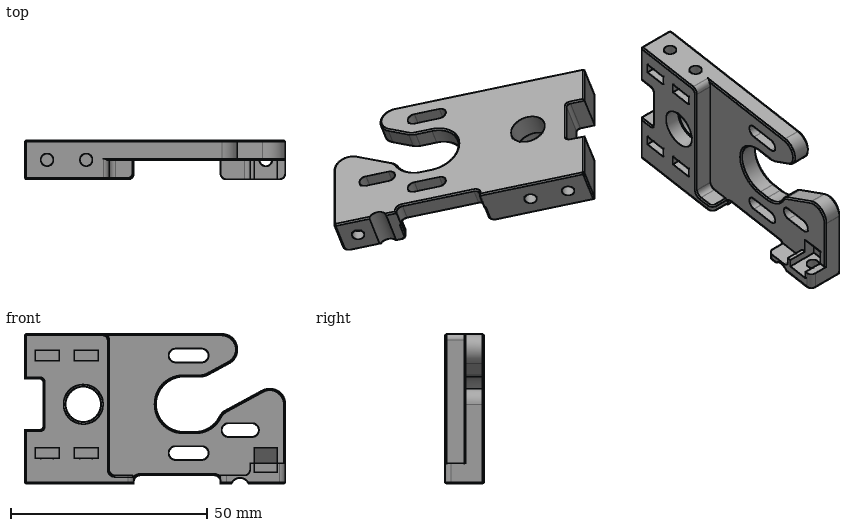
import cadquery as cq
import math

length = 66.5
depth = 10.0
height = 38.25

plate_front = 4.9
plate_mid = (plate_front + depth) / 2
raised_mid = plate_front / 2
mid_z = 20.3
edge = 0.4
corner_radius = 1.5
overlap = 0.6

bore_radius = 7.05
bore_left_x = 40.55
bore_right_x = 43.4
arm_radius = 4.0
upper_arm_x = 50.3
mouth_angle = math.radians(28.5)
upper_mouth_blend = 4.0
lower_mouth_blend = 3.45
bore_arc_degrees = -60
lower_tip_degrees = 45

foot_top = 2.1
left_foot_end = 27.85
right_foot_start = 49.95
relief_radius = 1.5

block_width = 21.55
notch_depth = 4.8
notch_height = 13.05
notch_radius = 1.0
rod_x = 14.95
rod_diameter = 9.0
rod_recess_diameter = 10.1
rod_recess_depth = 4.0

screw_diameter = 3.2
screw_y = depth / 2
block_screw_xs = (5.7, 15.7)
nut_width = 6.1
nut_height = 2.65
nut_offset = 12.45
nut_pocket_depth = screw_y + nut_width / 2

slot_width = 3.45
slot_x = 41.8
plate_slots = (
    (slot_x, mid_z + nut_offset, 10.1),
    (slot_x, mid_z - nut_offset, 10.1),
    (55.0, 13.7, 9.45),
)

seat_start = 57.5
seat_top = 5.2
seat_screw_x = 61.5
seat_nut_width = 5.9
seat_floor = 3.0
seat_pocket_top = 9.25
seat_pocket_rear = screw_y + seat_nut_width / 2
groove_x = 54.9
groove_radius = 2.4
groove_top = 1.45


def slab(outline, y_start, y_end):
    """Extrude a closed XZ outline from y_start to y_end."""
    return outline.extrude(y_start - y_end).translate((0, y_start, 0))


def box(x_range, y_range, z_range):
    """Axis-aligned box spanning the three ranges."""
    sizes = [stop - start for start, stop in (x_range, y_range, z_range)]
    return cq.Workplane("XY").box(*sizes, centered=False).translate((x_range[0], y_range[0], z_range[0]))


def cylinder_y(x, z, diameter, y_start, y_end):
    """Cylinder parallel to Y."""
    return slab(cq.Workplane("XZ").center(x, z).circle(diameter / 2), y_start, y_end)


def cylinder_z(x, y, diameter, z_start, z_end):
    """Cylinder parallel to Z."""
    return cq.Workplane("XY", origin=(x, y, z_start)).circle(diameter / 2).extrude(z_end - z_start)


def on_arc(centre, radius, degrees):
    """Point on a circle, with the angle measured from +X towards +Z."""
    angle = math.radians(degrees)
    return (centre[0] + radius * math.cos(angle), centre[1] + radius * math.sin(angle))


def plate_outline():
    """Plate outline without the end notch, and the two mouth corners that are to be blended."""
    along = (math.cos(mouth_angle), math.sin(mouth_angle))
    upper_centre = (upper_arm_x, height - arm_radius)
    lower_centre = (length - arm_radius, mid_z)
    upper_tangent = (upper_centre[0] + arm_radius * along[1], upper_centre[1] - arm_radius * along[0])
    lower_tangent = (lower_centre[0] - arm_radius * along[1], lower_centre[1] + arm_radius * along[0])

    bore_top = mid_z + bore_radius
    upper_meet_x = upper_tangent[0] - (upper_tangent[1] - bore_top) / math.tan(mouth_angle)

    offset = (lower_tangent[0] - bore_right_x, lower_tangent[1] - mid_z)
    travel = offset[0] * along[0] + offset[1] * along[1]
    gap = offset[1] * along[0] - offset[0] * along[1]
    back = travel - math.sqrt(bore_radius ** 2 - gap ** 2)
    lower_meet = (lower_tangent[0] - back * along[0], lower_tangent[1] - back * along[1])

    outline = (
        cq.Workplane("XZ")
        .moveTo(0, 0)
        .lineTo(0, height)
        .lineTo(upper_centre[0], height)
        .threePointArc(on_arc(upper_centre, arm_radius, 0), upper_tangent)
        .lineTo(upper_meet_x, bore_top)
        .lineTo(bore_left_x, bore_top)
        .threePointArc((bore_left_x - bore_radius, mid_z), (bore_left_x, mid_z - bore_radius))
        .lineTo(bore_right_x, mid_z - bore_radius)
        .threePointArc(on_arc((bore_right_x, mid_z), bore_radius, bore_arc_degrees), lower_meet)
        .lineTo(*lower_tangent)
        .threePointArc(on_arc(lower_centre, arm_radius, lower_tip_degrees), (length, mid_z))
        .lineTo(length, 0)
        .lineTo(right_foot_start, 0)
        .lineTo(right_foot_start, foot_top)
        .lineTo(left_foot_end, foot_top)
        .lineTo(left_foot_end, 0)
        .close()
    )
    return outline, (upper_meet_x, bore_top), lower_meet


def corner_edge(x, z, y):
    """Selector for the edge whose centre is closest to (x, y, z)."""
    return cq.selectors.NearestToPointSelector((x, y, z))


def notch_tool():
    """Cutter for the notch in the left end."""
    tool = box((-notch_depth, notch_depth), (-depth, 2 * depth),
               (mid_z - notch_height / 2, mid_z + notch_height / 2))
    return tool.edges("|Y and >X").fillet(notch_radius)


def make_plate():
    """Full-length plate with rounded mouth corners and chamfered rims."""
    outline, upper_meet, lower_meet = plate_outline()
    plate = slab(outline, plate_front, depth)
    plate = plate.edges(corner_edge(*upper_meet, plate_mid)).fillet(upper_mouth_blend)
    plate = plate.edges(corner_edge(*lower_meet, plate_mid)).fillet(lower_mouth_blend)
    for x in (left_foot_end, right_foot_start):
        plate = plate.edges(corner_edge(x, foot_top, plate_mid)).fillet(relief_radius)
    for x, z in ((0, 0), (0, height), (length, 0)):
        plate = plate.edges(corner_edge(x, z, plate_mid)).chamfer(edge)
    plate = plate.cut(notch_tool())
    return plate.faces("<Y or >Y").edges().chamfer(edge)


def make_block():
    """Thick left block with a low foot running to the right."""
    block = slab(
        cq.Workplane("XZ").polyline([
            (0, 0), (0, height), (block_width, height), (block_width, foot_top),
            (left_foot_end, foot_top), (left_foot_end, 0),
        ]).close(),
        0, plate_front + overlap,
    )
    block = block.edges(corner_edge(block_width, height, raised_mid)).fillet(corner_radius)
    block = block.edges(corner_edge(block_width, foot_top, raised_mid)).fillet(corner_radius)
    block = block.cut(notch_tool())
    block = block.edges("|Z and >X and <Y").fillet(corner_radius)
    block = block.faces("<Y").edges("not(|Z and >X)").chamfer(edge)
    for z in (0, height):
        block = block.edges(corner_edge(0, z, raised_mid)).chamfer(edge)
    return block


def make_right_foot():
    """Low foot that steps up to the clamp seat at the right end."""
    foot = slab(
        cq.Workplane("XZ").polyline([
            (right_foot_start, 0), (right_foot_start, foot_top), (seat_start, foot_top),
            (seat_start, seat_top), (length, seat_top), (length, 0),
        ]).close(),
        0, plate_front + overlap,
    )
    foot = foot.edges(corner_edge(seat_start, foot_top, raised_mid)).fillet(corner_radius)
    foot = foot.edges("|Z and <Y").edges("<X or >X").fillet(corner_radius)
    return foot.faces("<Z").edges("<Y or >X or %CIRCLE").chamfer(edge)


def block_cuts():
    """Rod bore with its recess, and the screw holes with their nut pockets."""
    cuts = cylinder_y(rod_x, mid_z, rod_diameter, 0, depth)
    cuts = cuts.union(cylinder_y(rod_x, mid_z, rod_recess_diameter, 0, rod_recess_depth))
    for x in block_screw_xs:
        for side, outer_z in ((1, height), (-1, 0)):
            nut_z = mid_z + side * nut_offset
            cuts = cuts.union(box(
                (x - nut_width / 2, x + nut_width / 2), (0, nut_pocket_depth),
                (nut_z - nut_height / 2, nut_z + nut_height / 2),
            ))
            inner_z = nut_z - side * nut_height / 2
            cuts = cuts.union(cylinder_z(x, screw_y, screw_diameter, inner_z, outer_z))
    return cuts


def slot_cuts():
    """Adjustment slots through the plate."""
    cuts = cq.Workplane("XZ")
    for x, z, slot_length in plate_slots:
        cuts = cuts.union(slab(cq.Workplane("XZ").center(x, z).slot2D(slot_length, slot_width), 0, depth))
    return cuts


def seat_cuts():
    """Nut pocket with a sloping ceiling, its screw hole, and the groove under the foot."""
    pocket = (
        cq.Workplane("YZ")
        .polyline([
            (0, seat_floor), (seat_pocket_rear, seat_floor), (seat_pocket_rear, seat_top),
            (plate_front, seat_pocket_top), (0, seat_pocket_top),
        ])
        .close()
        .extrude(seat_nut_width)
        .translate((seat_screw_x - seat_nut_width / 2, 0, 0))
    )
    screw = cylinder_z(seat_screw_x, screw_y, screw_diameter, 0, seat_floor)
    groove = cylinder_y(groove_x, groove_top - groove_radius, 2 * groove_radius, 0, depth)
    return pocket.union(screw).union(groove)


body = make_plate().union(make_block()).union(make_right_foot())
result = body.cut(block_cuts()).cut(slot_cuts()).cut(seat_cuts())